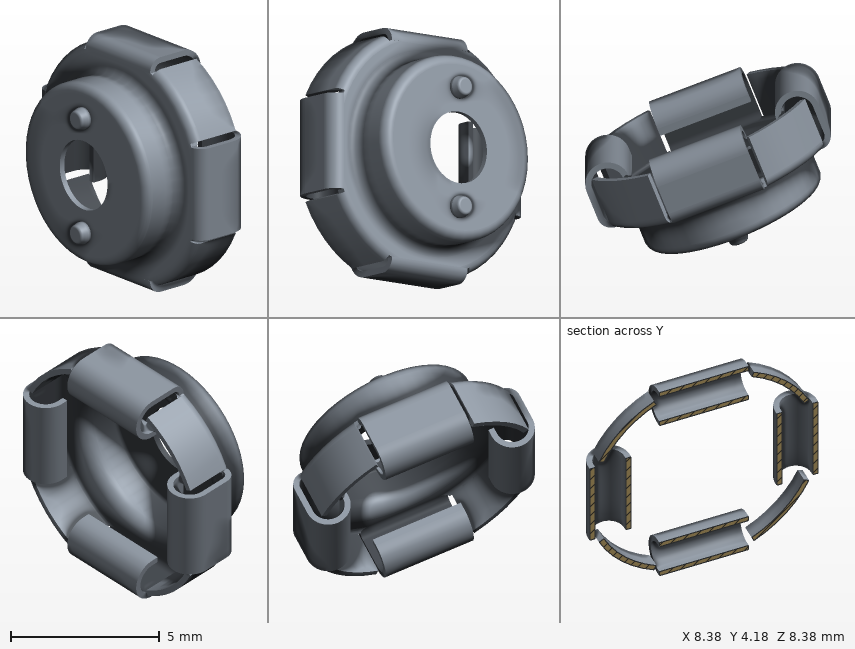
import cadquery as cq
import math

overall_width = 8.38
cup_diameter = 6.35
cup_inner_diameter = 5.94
sheet = (cup_diameter - cup_inner_diameter) / 2

flange_face_y = 1.53
back_y = 3.79
bend_radius = 0.335
inner_bend_radius = bend_radius - sheet
hole_diameter = 2.45

rim_radius = 4.265
rim_inner_radius = rim_radius - sheet
rim_back_y = 3.43
rim_end_angle = 25.4

clip_width = 3.28
clip_bend_radius = 0.48
clip_curl_radius = 0.76
clip_leg_end_y = 2.765
clip_root = overall_width / 2 - clip_bend_radius

pin_spacing = 4.09
pin_base_diameter = 0.76
pin_tip_diameter = 0.595
pin_height = 0.385
pin_straight_height = 0.12
pin_tip_fillet = 0.1


def arc_point(center, radius, angle):
    """Point on a circle at the given angle in degrees."""
    turn = math.radians(angle)
    return (center[0] + radius * math.cos(turn), center[1] + radius * math.sin(turn))


def make_shell():
    """Revolved sheet: pierced cup floor, cup wall, flange and outer rim wall."""
    cup_radius = cup_diameter / 2
    cup_inner_radius = cup_inner_diameter / 2
    hole_radius = hole_diameter / 2
    flange_back_y = flange_face_y + sheet

    floor_bend = (cup_radius - bend_radius, bend_radius)
    flange_bend = (cup_radius + bend_radius, flange_face_y - bend_radius)
    shoulder_bend_radius = bend_radius + sheet
    flange_bend_in = (cup_radius + bend_radius, flange_back_y - shoulder_bend_radius)
    rim_bend = (rim_radius - bend_radius, flange_face_y + bend_radius)

    profile = (
        cq.Workplane("XY")
        .moveTo(hole_radius, 0)
        .lineTo(floor_bend[0], 0)
        .threePointArc(arc_point(floor_bend, bend_radius, -45), (cup_radius, floor_bend[1]))
        .lineTo(cup_radius, flange_bend[1])
        .threePointArc(arc_point(flange_bend, bend_radius, 135), (flange_bend[0], flange_face_y))
        .lineTo(rim_bend[0], flange_face_y)
        .threePointArc(arc_point(rim_bend, bend_radius, -45), (rim_radius, rim_bend[1]))
        .lineTo(rim_radius, rim_back_y)
        .lineTo(rim_inner_radius, rim_back_y)
        .lineTo(rim_inner_radius, rim_bend[1])
        .threePointArc(arc_point(rim_bend, inner_bend_radius, -45), (rim_bend[0], flange_back_y))
        .lineTo(flange_bend_in[0], flange_back_y)
        .threePointArc(
            arc_point(flange_bend_in, shoulder_bend_radius, 135),
            (cup_inner_radius, flange_bend_in[1]),
        )
        .lineTo(cup_inner_radius, floor_bend[1])
        .threePointArc(arc_point(floor_bend, inner_bend_radius, -45), (floor_bend[0], sheet))
        .lineTo(hole_radius, sheet)
        .close()
    )
    return profile.revolve(360, (0, 0, 0), (0, 1, 0))


def rotated(solid, quarter):
    """Turn a solid about the Y axis by whole quarter turns."""
    return solid.rotate((0, 0, 0), (0, 1, 0), 90 * quarter)


def make_rim_gap():
    """Cutter clearing the rim wall and the flange edge on the +X side."""
    reach = 2 * rim_radius
    half_opening = reach * math.tan(math.radians(rim_end_angle))
    wedge = (
        cq.Workplane("XZ", origin=(0, back_y, 0))
        .polyline([(0, 0), (reach, -half_opening), (reach, half_opening)])
        .close()
        .extrude(back_y)
    )
    core = cq.Workplane("XZ", origin=(0, back_y, 0)).circle(rim_inner_radius).extrude(back_y)
    outside = (
        cq.Workplane("XY")
        .box(reach, back_y, 2 * half_opening, centered=(False, False, True))
        .translate((clip_root, 0, 0))
    )
    return wedge.cut(core).union(wedge.intersect(outside))


def make_clip():
    """Tab folded back from the flange on the +X side and curled inward, ending in a straight leg."""
    outer_x = overall_width / 2
    bend = (clip_root, flange_face_y + clip_bend_radius)
    curl = (outer_x - clip_curl_radius, back_y - clip_curl_radius)
    inner_bend = clip_bend_radius - sheet
    inner_curl = clip_curl_radius - sheet
    profile = (
        cq.Workplane("XY", origin=(0, 0, -clip_width / 2))
        .moveTo(clip_root, flange_face_y)
        .threePointArc(arc_point(bend, clip_bend_radius, -45), (outer_x, bend[1]))
        .lineTo(outer_x, curl[1])
        .threePointArc(arc_point(curl, clip_curl_radius, 90), (curl[0] - clip_curl_radius, curl[1]))
        .lineTo(curl[0] - clip_curl_radius, clip_leg_end_y)
        .lineTo(curl[0] - inner_curl, clip_leg_end_y)
        .lineTo(curl[0] - inner_curl, curl[1])
        .threePointArc(arc_point(curl, inner_curl, 90), (outer_x - sheet, curl[1]))
        .lineTo(outer_x - sheet, bend[1])
        .threePointArc(arc_point(bend, inner_bend, -45), (clip_root, flange_face_y + sheet))
        .close()
    )
    return profile.extrude(clip_width)


def make_pin(z):
    """Pin with a straight base, a tapered end and a rounded tip."""
    pin = (
        cq.Workplane("XY")
        .moveTo(0, sheet / 2)
        .lineTo(pin_base_diameter / 2, sheet / 2)
        .lineTo(pin_base_diameter / 2, -pin_straight_height)
        .lineTo(pin_tip_diameter / 2, -pin_height)
        .lineTo(0, -pin_height)
        .close()
        .revolve(360, (0, 0, 0), (0, 1, 0))
    )
    return pin.faces("<Y").edges().fillet(pin_tip_fillet).translate((0, 0, z))


result = make_shell()
rim_gap = make_rim_gap()
clip = make_clip()
for quarter in range(4):
    result = result.cut(rotated(rim_gap, quarter))
for quarter in range(4):
    result = result.union(rotated(clip, quarter))
for side in (-1, 1):
    result = result.union(make_pin(side * pin_spacing / 2))